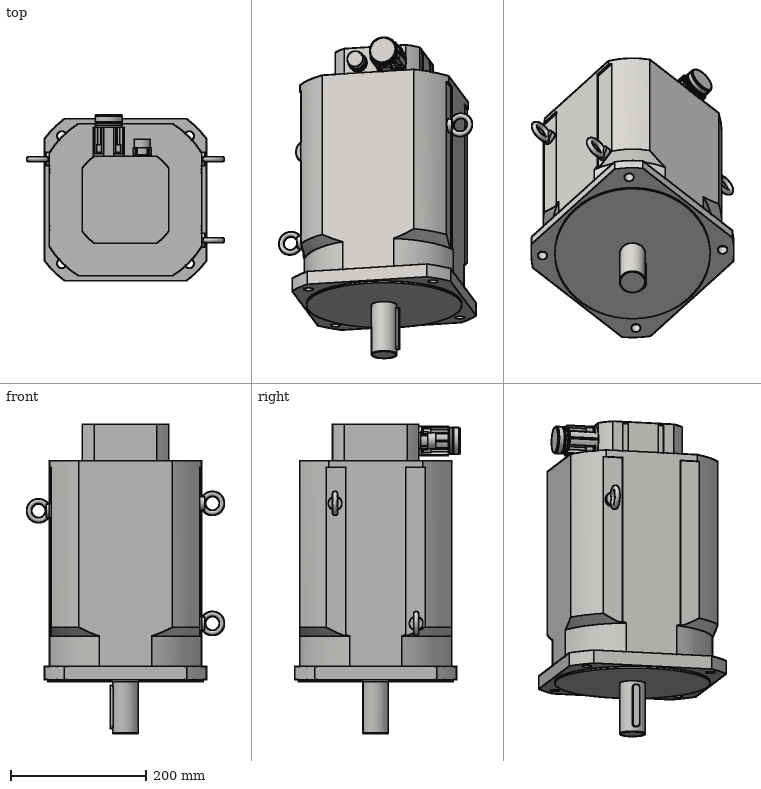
import cadquery as cq
import math


total_height = 458.0
shaft_length = 79.5
cover_top = total_height - shaft_length
body_top = 324.3
cone_top = 78.0
cone_bottom = 64.5
flange_thickness = 19.5
spigot_height = 2.7

flange_width = 240.0
flange_corner_radius = 150.0
body_width = 225.5
body_corner_radius = 132.5
lower_corner_radius = 119.0
cover_width = 128.2
cover_corner_radius = 79.2
spigot_radius = 115.0

mounting_hole_diameter = 13.7
mounting_hole_offset = 94.5

recess_depth = 2.5
recess_inner_y = 44.5
recess_top = 314.0
recess_bottom = 66.0
seat_x = body_width / 2 - recess_depth

slot_depth = 1.5
slot_width = 8.2
slot_offset = 27.0
slot_top = cover_top - 2.7

shaft_diameter = 38.0
shaft_chamfer = 1.0
key_width = 10.0
key_length = 64.0
key_height = 3.5
key_top = -8.2

eye_tube_diameter = 8.0
eye_inner_diameter = 20.0
eye_ring_radius = (eye_inner_diameter + eye_tube_diameter) / 2
eye_outer_reach = 146.5
eye_x = eye_outer_reach - eye_ring_radius - eye_tube_diameter / 2
eye_collar_diameter = 20.0
eye_collar_top = 117.2
eye_y = 60.0
eye_places = [(-1, eye_y, 250.0), (1, -eye_y, 261.0), (1, eye_y, 83.5)]

connector_face_y = cover_width / 2
connector_offset = 24.7
connector_z = cover_top - 24.7
diagonals = [45, 135, 225, 315]

power_end_y = 125.5
power_ring_front_y = 123.0
power_ring_back_y = 115.5
power_collar_front_y = 113.0
power_collar_back_y = 110.0
power_shell_end_y = 107.5
power_base_end_y = 68.2
power_shell_diameter = 46.0
power_shell_height = 43.5
power_ring_diameter = 40.5
power_neck_diameter = 38.0
power_side_slit_width = 2.5
power_side_slit_depth = 1.5
power_groove_diameter = 14.5
power_rod_circle_radius = 20.0
power_rod_diameter = 4.0
power_head_diameter = 7.5
power_head_start_y = 70.5
power_head_end_y = 81.5

signal_end_y = 89.5
signal_collar_start_y = 67.0
signal_collar_end_y = 77.0
signal_diameter = 24.0
signal_collar_diameter = 26.5
signal_notch_diameter = 3.5


def rounded_square(width, corner_radius, bottom, top):
    """Upright square prism with its four corners turned down to corner_radius."""
    height = top - bottom
    square = cq.Workplane("XY", origin=(0, 0, bottom)).rect(width, width).extrude(height)
    return square.intersect(cq.Workplane("XY", origin=(0, 0, bottom)).circle(corner_radius).extrude(height))


def make_flange():
    flange = rounded_square(flange_width, flange_corner_radius, 0, flange_thickness)
    holes = (
        cq.Workplane("XY")
        .rect(2 * mounting_hole_offset, 2 * mounting_hole_offset, forConstruction=True)
        .vertices()
        .circle(mounting_hole_diameter / 2)
        .extrude(flange_thickness)
    )
    spigot = cq.Workplane("XY").circle(spigot_radius).extrude(-spigot_height)
    return flange.cut(holes).union(spigot)


def make_body():
    """Square body whose rounded corners step in through a cone near the flange."""
    height = body_top - flange_thickness
    square = cq.Workplane("XY", origin=(0, 0, flange_thickness)).rect(body_width, body_width).extrude(height)
    turned = (
        cq.Workplane("XZ")
        .moveTo(0, flange_thickness)
        .lineTo(lower_corner_radius, flange_thickness)
        .lineTo(lower_corner_radius, cone_bottom)
        .lineTo(body_corner_radius, cone_top)
        .lineTo(body_corner_radius, body_top)
        .lineTo(0, body_top)
        .close()
        .revolve(360, (0, 0, 0), (0, 1, 0))
    )
    body = square.intersect(turned)
    recess_width = body_width / 2 - recess_inner_y
    for side_x in (-1, 1):
        for side_y in (-1, 1):
            recess = cq.Workplane("XY").box(2 * recess_depth, recess_width, recess_top - recess_bottom)
            body = body.cut(recess.translate((
                side_x * body_width / 2,
                side_y * (recess_inner_y + recess_width / 2),
                (recess_top + recess_bottom) / 2,
            )))
    return body


def make_cover():
    cover = rounded_square(cover_width, cover_corner_radius, body_top, cover_top)
    for side_y in (-1, 1):
        slot = cq.Workplane("XY").box(2 * slot_depth, slot_width, slot_top - body_top)
        cover = cover.cut(slot.translate((-cover_width / 2, side_y * slot_offset, (slot_top + body_top) / 2)))
    return cover


def make_shaft():
    """Shaft end with a round-ended key on its -X side."""
    shaft = cq.Workplane("XY").circle(shaft_diameter / 2).extrude(-shaft_length)
    shaft = shaft.faces("<Z").chamfer(shaft_chamfer)
    key = (
        cq.Workplane("YZ", origin=(0, 0, key_top - key_length / 2))
        .slot2D(key_length, key_width, 90)
        .extrude(-(shaft_diameter / 2 + key_height))
    )
    return shaft.union(key)


def make_motor():
    return make_flange().union(make_body()).union(make_cover()).union(make_shaft())


def make_eyebolt(side, y, z):
    """Ring in the XZ plane on a round collar that sits on a side recess."""
    collar = (
        cq.Workplane("YZ", origin=(seat_x, 0, 0))
        .circle(eye_collar_diameter / 2)
        .extrude(eye_collar_top - seat_x)
    )
    ring = cq.Workplane(cq.Solid.makeTorus(
        eye_ring_radius, eye_tube_diameter / 2, cq.Vector(eye_x, 0, 0), cq.Vector(0, 1, 0)
    ))
    eyebolt = collar.union(ring)
    if side < 0:
        eyebolt = eyebolt.mirror("YZ")
    return eyebolt.translate((0, y, z))


def rod_along_y(diameter, start_y, end_y, x=0.0, z=0.0):
    """Cylinder parallel to Y, with x and z its distances from the connector axis."""
    return cq.Workplane("XZ", origin=(x, start_y, z)).circle(diameter / 2).extrude(start_y - end_y)


def make_power_connector():
    """Shell with four diagonal grooves, a screw in each, a slit on each X side and a ringed round front end."""
    shell = rod_along_y(power_shell_diameter, connector_face_y, power_shell_end_y)
    shell = shell.intersect(
        cq.Workplane("XY", origin=(0, connector_face_y, 0))
        .box(power_shell_diameter, 2 * (power_shell_end_y - connector_face_y), power_shell_height)
    )
    side_slits = (
        cq.Workplane("XY", origin=(0, connector_face_y, 0))
        .pushPoints([(-power_shell_diameter / 2, 0), (power_shell_diameter / 2, 0)])
        .box(2 * power_side_slit_depth, 2 * (power_shell_end_y - connector_face_y), power_side_slit_width)
    )
    shell = shell.cut(side_slits)
    screw_places = [
        (power_rod_circle_radius * math.cos(math.radians(angle)),
         power_rod_circle_radius * math.sin(math.radians(angle)))
        for angle in diagonals
    ]
    for x, z in screw_places:
        shell = shell.cut(rod_along_y(power_groove_diameter, power_base_end_y, power_shell_end_y, x, z))
    connector = shell.union(rod_along_y(power_neck_diameter, power_shell_end_y, power_end_y))
    connector = connector.union(rod_along_y(power_ring_diameter, power_collar_back_y, power_collar_front_y))
    connector = connector.union(rod_along_y(power_ring_diameter, power_ring_back_y, power_ring_front_y))
    for x, z in screw_places:
        connector = connector.union(rod_along_y(power_rod_diameter, power_base_end_y, power_shell_end_y, x, z))
        connector = connector.union(rod_along_y(power_head_diameter, power_head_start_y, power_head_end_y, x, z))
    return connector.translate((-connector_offset, 0, connector_z))


def make_signal_connector():
    """Round plug with a notched collar near the cover."""
    plug = rod_along_y(signal_diameter, connector_face_y, signal_end_y)
    collar = rod_along_y(signal_collar_diameter, signal_collar_start_y, signal_collar_end_y)
    connector = plug.union(collar)
    for angle in diagonals:
        x = signal_collar_diameter / 2 * math.cos(math.radians(angle))
        z = signal_collar_diameter / 2 * math.sin(math.radians(angle))
        notch = rod_along_y(signal_notch_diameter, signal_collar_start_y, signal_collar_end_y, x, z)
        connector = connector.cut(notch)
    return connector.translate((connector_offset, 0, connector_z))


motor = make_motor()
eyebolts = [make_eyebolt(side, y, z) for side, y, z in eye_places]
power_connector = make_power_connector()
signal_connector = make_signal_connector()

result = cq.Compound.makeCompound([
    motor.val(),
    *[eyebolt.val() for eyebolt in eyebolts],
    power_connector.val(),
    signal_connector.val(),
])